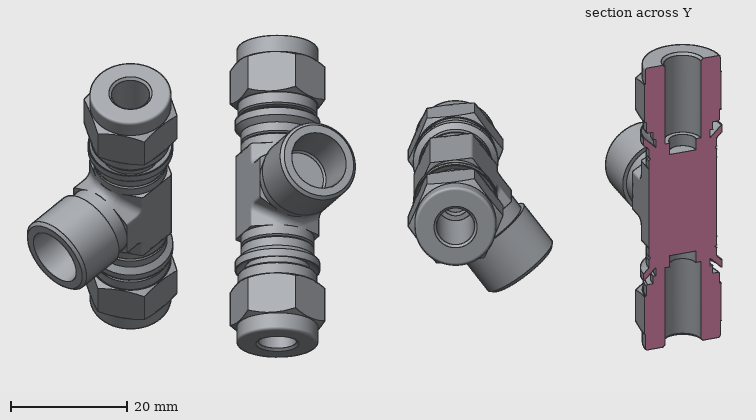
import cadquery as cq
import math

half_run = 27.15
branch_reach = 19.05

body_corner_d = 14.6
body_flats = body_corner_d * math.cos(math.pi / 6)
body_side_half = body_corner_d / 4
body_reach = 7.6
bar_length = 10.85
inner_blend = 1.4
edge_round = 0.55

neck_r = body_flats / 2
groove_z = 9.5
groove_depth = 0.25

ring_r = 14.6 / 2
ring_inner_z = 12.3
ring_outer_z = 13.7
thin_neck_r = 11.15 / 2
thin_neck_z = 13.1
inner_neck_r = 10.1 / 2
dish_rim_r = 7.1

nut_inner_z = 14.5
collar_r = 13.6 / 2
collar_chamfer = 0.25
hex_inner_z = 16.65
hex_outer_z = 24.05
hex_flats = 14.3
hex_corner_r = hex_flats / 2 / math.cos(math.pi / 6)
hex_chamfer_angle = math.pi / 6
nut_end_r = 14.0 / 2
nut_end_round = 0.5

socket_d = 6.55
socket_mouth_d = 7.45
socket_depth = 15.2
passage_d = 4.85
passage_depth = 17.35

branch_shoulder = 10.35
branch_r = 14.0 / 2
branch_chamfer = 0.55
bore_mouth_d = 10.1
bore_inner_d = 9.4
bore_floor_d = 8.7
bore_depth = 8.7


def revolve_run(points):
    """Turn an (r, z) outline around the Z axis."""
    return cq.Workplane("XZ").polyline(points).close().revolve(360, (0, 0), (0, 1))


def revolve_branch(points):
    """Turn an (r, distance) outline around the branch axis; distance runs along -Y."""
    outline = [(r, -distance) for r, distance in points]
    return cq.Workplane("XY").polyline(outline).close().revolve(360, (0, 0), (0, 1))


def round_nosed_section(plane, sharp_side):
    """Hexagon with flat sides at +X and -X.

    Its lower corner is rounded by the inscribed circle; its upper corner is sharp or rounded likewise.
    """
    r = neck_r
    tangent_x = r * math.sin(math.pi / 6)
    tangent_y = r * math.cos(math.pi / 6)
    section = (
        cq.Workplane(plane)
        .moveTo(-r, body_side_half)
        .lineTo(-r, -body_side_half)
        .lineTo(-tangent_x, -tangent_y)
        .threePointArc((0, -r), (tangent_x, -tangent_y))
        .lineTo(r, -body_side_half)
        .lineTo(r, body_side_half)
    )
    if sharp_side:
        return section.lineTo(0, body_corner_d / 2).close()
    return section.lineTo(tangent_x, tangent_y).threePointArc((0, r), (-tangent_x, tangent_y)).close()


def make_body():
    run_bar = round_nosed_section("XY", True).extrude(bar_length, both=True)
    branch_bar = round_nosed_section("XZ", False).extrude(bar_length)
    body = run_bar.union(branch_bar)

    corner_end = body_corner_d / 2
    inside_x = neck_r - edge_round
    upper_corner = cq.selectors.BoxSelector(
        (-inside_x, -corner_end, body_side_half), (inside_x, -body_side_half, corner_end))
    lower_corner = cq.selectors.BoxSelector(
        (-inside_x, -corner_end, -corner_end), (inside_x, -body_side_half, -body_side_half))
    body = body.edges(upper_corner + lower_corner).fillet(inner_blend)

    body = body.faces("<X or >X").edges("not(<Z or >Z or <Y)").fillet(edge_round)

    depth = body_reach + corner_end
    trim = cq.Workplane("XY").box(body_corner_d, depth, 2 * body_reach)
    return body.intersect(trim.translate((0, corner_end - depth / 2, 0)))


def make_arm():
    """Neck, ring and nut on the +Z side."""
    slope = ring_r - neck_r
    hex_middle_z = (hex_inner_z + hex_outer_z) / 2
    turned = revolve_run([
        (0, body_reach),
        (neck_r, body_reach),
        (neck_r, groove_z - groove_depth),
        (neck_r - groove_depth, groove_z),
        (neck_r, groove_z + groove_depth),
        (neck_r, ring_inner_z - slope),
        (ring_r, ring_inner_z),
        (ring_r, ring_outer_z),
        (dish_rim_r, ring_outer_z),
        (inner_neck_r, ring_outer_z - (dish_rim_r - inner_neck_r)),
        (inner_neck_r, thin_neck_z),
        (thin_neck_r, thin_neck_z),
        (thin_neck_r, nut_inner_z),
        (collar_r - collar_chamfer, nut_inner_z),
        (collar_r, nut_inner_z + collar_chamfer),
        (collar_r, hex_middle_z),
        (nut_end_r, hex_middle_z),
        (nut_end_r, half_run),
        (0, half_run),
    ])
    turned = turned.faces(">Z").edges().fillet(nut_end_round)

    corner_drop = (hex_corner_r - nut_end_r) * math.tan(hex_chamfer_angle)
    chamfer_cones = revolve_run([
        (0, hex_inner_z),
        (nut_end_r, hex_inner_z),
        (hex_corner_r, hex_inner_z + corner_drop),
        (hex_corner_r, hex_outer_z - corner_drop),
        (nut_end_r, hex_outer_z),
        (0, hex_outer_z),
    ])
    nut_hex = cq.Workplane("XY").polygon(6, 2 * hex_corner_r).extrude(half_run)
    nut_hex = nut_hex.rotate((0, 0, 0), (0, 0, 1), 30).intersect(chamfer_cones)

    mouth_chamfer = (socket_mouth_d - socket_d) / 2
    socket = revolve_run([
        (0, half_run),
        (socket_mouth_d / 2, half_run),
        (socket_d / 2, half_run - mouth_chamfer),
        (socket_d / 2, half_run - socket_depth),
        (passage_d / 2, half_run - socket_depth),
        (passage_d / 2, half_run - passage_depth),
        (0, half_run - passage_depth),
    ])
    return turned.union(nut_hex).cut(socket)


def make_branch():
    """Hollow round branch, bored to a flat floor."""
    bore_floor = branch_reach - bore_depth
    floor_chamfer = (bore_inner_d - bore_floor_d) / 2
    return revolve_branch([
        (0, body_reach),
        (neck_r, body_reach),
        (neck_r, branch_shoulder),
        (branch_r, branch_shoulder),
        (branch_r, branch_reach - branch_chamfer),
        (branch_r - branch_chamfer, branch_reach),
        (bore_mouth_d / 2, branch_reach),
        (bore_inner_d / 2, bore_floor + floor_chamfer),
        (bore_floor_d / 2, bore_floor),
        (0, bore_floor),
    ])


arm = make_arm()
result = make_body().union(arm).union(arm.mirror("XY")).union(make_branch())